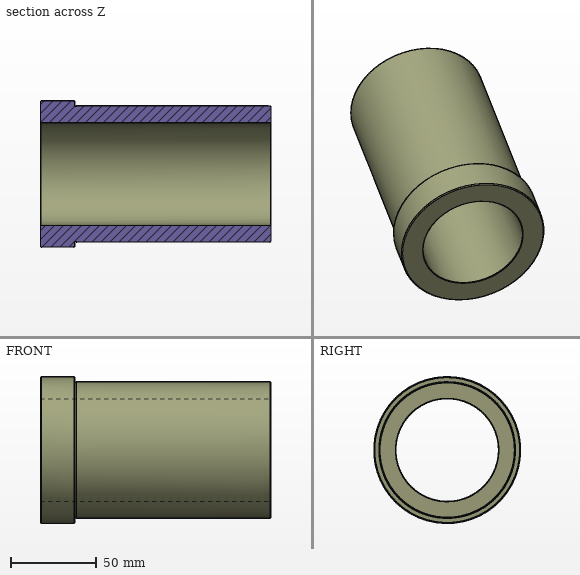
import cadquery as cq

total_length = 135.0
flange_length = 20.2
flange_radius = 86.0 / 2
body_radius = 80.0 / 2
bore_radius = 60.0 / 2

flange_chamfer = 0.61
end_chamfer = 0.7
bore_chamfer = 0.34
neck_length = 1.0
neck_drop = 0.3

lead_in_length = 3.9
lead_in_drop = 0.05

neck_end = flange_length + neck_length
neck_radius = body_radius - neck_drop
lead_in_start = total_length - lead_in_length
lead_in_radius = body_radius - lead_in_drop

half_section = (
    cq.Workplane("XY")
    .moveTo(bore_chamfer, bore_radius)
    .lineTo(0, bore_radius + bore_chamfer)
    .lineTo(0, flange_radius - flange_chamfer)
    .lineTo(flange_chamfer, flange_radius)
    .lineTo(flange_length - flange_chamfer, flange_radius)
    .lineTo(flange_length, flange_radius - flange_chamfer)
    .lineTo(flange_length, neck_radius)
    .lineTo(neck_end, neck_radius)
    .lineTo(neck_end, body_radius)
    .lineTo(lead_in_start, body_radius)
    .lineTo(total_length - end_chamfer, lead_in_radius)
    .lineTo(total_length, lead_in_radius - end_chamfer)
    .lineTo(total_length, bore_radius + bore_chamfer)
    .lineTo(total_length - bore_chamfer, bore_radius)
    .close()
)

result = half_section.revolve(360, (0, 0, 0), (1, 0, 0))